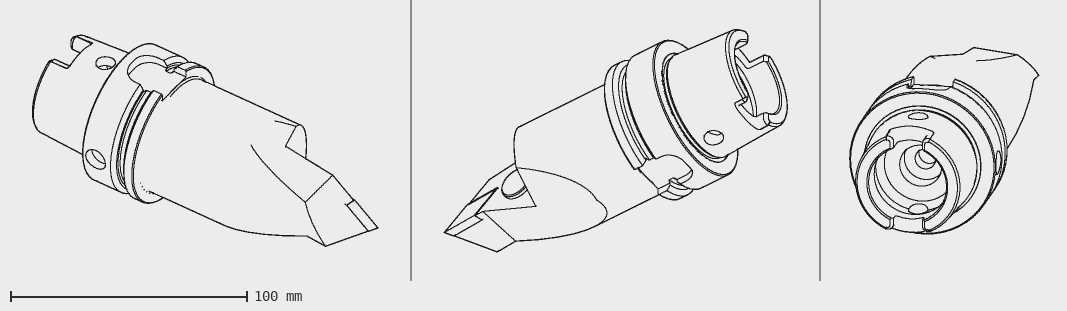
import cadquery as cq
import math

tip_x = 161.9

gauge_x = 31.9
taper_start_x = 30.1
shank_end_radius = 22.5
taper_per_length = 0.05
shank_chamfer_length = 1.1
shank_chamfer_height = 0.8
relief_radius = 23.5
relief_slope_end_x = 31.0
face_relief_radius = 25.3
face_relief_depth = 0.5

bore_radius = 16.8
bore_chamfer = 0.6
bore_straight_length = 12.5
clamp_radius = 18.5
clamp_cone_angle = 30.0
clamp_end_x = 23.5
bore_floor_radius = 15.7
bore_floor_x = 28.3
thread_radius = 9.0
thread_depth = 9.7
coolant_radius = 4.4
coolant_depth = 8.1
drill_point_angle = 118.0

slot_width = 12.5
slot_lip_radius = 2.3
slot_end_fillet = 1.1
slot_mouth_bevel_length = 1.6
slot_mouth_bevel_width = 1.3
upper_slot_length = 10.0
lower_slot_length = 6.0
cross_hole_x = 22.8
cross_hole_diameter = 8.3

flange_radius = 31.49
flange_end_x = 57.8
flange_chamfer = 0.5
groove_left_x = 48.1
groove_right_x = 51.6
groove_radius = 27.5
groove_fillet = 0.6
groove_bevel_length = 1.6
groove_bevel_height = 2.3
keyway_width = 18.0
keyway_start_x = 36.8
keyway_floor_z = 26.5
keyway_corner_radius = 7.1
chip_hole_x = 38.9
chip_hole_diameter = 10.0
chip_hole_depth = 4.5

body_radius = 26.0
body_fillet = 0.8
roof_start_x = 99.1
roof_slope = 0.176
roof_tilt = 0.1
belly_start_x = 83.2
belly_slope = 0.47
belly_tilt = 0.12
lead_angle = 40.0
lead_tilt = 0.142
underside_tilt = 0.13
insert_stand_out = 0.2

rake_y = -0.4
notch_x = 114.8
notch_top_x = 107.8

insert_angle = 35.0
insert_edge = 15.5
insert_thickness = 4.7

button_x = 124.0
button_z = 7.3
button_diameter = 14.9
button_top_y = 1.6
button_chamfer = 0.5

cutter_size = 485.7
clearance_angle = lead_angle - insert_angle
lead_slope = math.tan(math.radians(lead_angle))
underside_slope = math.tan(math.radians(clearance_angle))


def revolve_about_x(points):
    """Turn an (x, radius) outline about the tool axis."""
    return cq.Workplane("XY").polyline(points).close().revolve(360, (0, 0, 0), (1, 0, 0))


def half_space(x, z, slope, tilt, side):
    """Everything above (side 1) or below (side -1) a plane through (x, 0, z) with rises slope, tilt."""
    normal = cq.Vector(-slope * side, -tilt * side, side)
    plane = cq.Plane(origin=(x, 0, z), xDir=(0, 1, tilt), normal=normal)
    return cq.Workplane(plane).rect(cutter_size, cutter_size).extrude(cutter_size)


def turned_shank():
    taper_end_radius = shank_end_radius + taper_per_length * taper_start_x
    chamfer_radius = shank_end_radius + taper_per_length * shank_chamfer_length
    return revolve_about_x([
        (0, 0),
        (0, shank_end_radius - shank_chamfer_height),
        (shank_chamfer_length, chamfer_radius),
        (taper_start_x, taper_end_radius),
        (relief_slope_end_x, relief_radius),
        (gauge_x + face_relief_depth, relief_radius),
        (gauge_x + face_relief_depth, 0),
    ])


def turned_flange():
    bevel_foot = flange_radius - groove_bevel_height
    flange = revolve_about_x([
        (gauge_x, 0),
        (gauge_x, flange_radius - flange_chamfer),
        (gauge_x + flange_chamfer, flange_radius),
        (groove_left_x - groove_bevel_length, flange_radius),
        (groove_left_x, bevel_foot),
        (groove_left_x, groove_radius),
        (groove_right_x, groove_radius),
        (groove_right_x, bevel_foot),
        (groove_right_x + groove_bevel_length, flange_radius),
        (flange_end_x - flange_chamfer, flange_radius),
        (flange_end_x, flange_radius - flange_chamfer),
        (flange_end_x, 0),
    ])
    floor_box = cq.selectors.BoxSelector(
        (groove_left_x - 0.2, -groove_radius - 0.2, -groove_radius - 0.2),
        (groove_right_x + 0.2, groove_radius + 0.2, groove_radius + 0.2),
        boundingbox=True,
    )
    flange = flange.edges("%CIRCLE").edges(floor_box).fillet(groove_fillet)
    face_relief = (
        cq.Workplane("YZ", origin=(gauge_x, 0, 0))
        .circle(face_relief_radius)
        .circle(relief_radius)
        .extrude(face_relief_depth)
    )
    return flange.cut(face_relief)


def clamping_bore():
    thread_end_x = bore_floor_x + thread_depth
    coolant_end_x = thread_end_x + coolant_depth
    clamp_cone_length = (clamp_radius - bore_radius) / math.tan(math.radians(clamp_cone_angle))
    point_length = coolant_radius / math.tan(math.radians(drill_point_angle / 2))
    return revolve_about_x([
        (0, 0),
        (0, bore_radius + bore_chamfer),
        (bore_chamfer, bore_radius),
        (bore_straight_length, bore_radius),
        (bore_straight_length + clamp_cone_length, clamp_radius),
        (clamp_end_x, clamp_radius),
        (bore_floor_x, bore_floor_radius),
        (bore_floor_x, thread_radius),
        (thread_end_x, thread_radius),
        (thread_end_x, coolant_radius),
        (coolant_end_x, coolant_radius),
        (coolant_end_x + point_length, 0),
    ])


def slot_outline(workplane, widening):
    """Slot section whose walls roll over into the taper, widened evenly on both sides."""
    half_width = slot_width / 2 + widening
    lip_radius = slot_lip_radius - widening
    lip_y = half_width + lip_radius
    lip_z = math.sqrt((shank_end_radius - slot_lip_radius) ** 2 - lip_y**2)
    lip_direction = math.atan2(lip_z, lip_y)
    middle_direction = (lip_direction + math.pi) / 2
    middle_y = lip_y + lip_radius * math.cos(middle_direction)
    middle_z = lip_z + lip_radius * math.sin(middle_direction)
    touch_y = lip_y + lip_radius * math.cos(lip_direction)
    touch_z = lip_z + lip_radius * math.sin(lip_direction)
    outside_y = flange_radius * math.cos(lip_direction)
    outside_z = flange_radius * math.sin(lip_direction)
    return (
        workplane.moveTo(-half_width, 0)
        .lineTo(half_width, 0)
        .lineTo(half_width, lip_z)
        .threePointArc((middle_y, middle_z), (touch_y, touch_z))
        .lineTo(outside_y, outside_z)
        .lineTo(-outside_y, outside_z)
        .lineTo(-touch_y, touch_z)
        .threePointArc((-middle_y, middle_z), (-half_width, lip_z))
        .close()
    )


def drive_slot(length):
    """Slot through the upper shank wall with rounded end corners and a bevelled mouth."""
    slot = slot_outline(cq.Workplane("YZ"), 0).extrude(length)
    slot = slot.edges(">X").edges("not |Y").fillet(slot_end_fillet)
    mouth = slot_outline(cq.Workplane("YZ"), slot_mouth_bevel_width)
    mouth = slot_outline(mouth.workplane(offset=slot_mouth_bevel_length), 0).loft(ruled=True)
    return slot.union(mouth)


def cross_hole():
    return (
        cq.Workplane("XY", origin=(cross_hole_x, 0, -flange_radius))
        .circle(cross_hole_diameter / 2)
        .extrude(2 * flange_radius)
    )


def keyway():
    """Flat-bottomed keyway in the top of the flange, open towards the tool body."""
    length = flange_end_x - keyway_start_x
    return (
        cq.Workplane("XY", origin=(keyway_start_x + length / 2, 0, keyway_floor_z))
        .rect(length, keyway_width)
        .extrude(flange_radius)
        .edges("|Z and <X")
        .fillet(keyway_corner_radius)
    )


def chip_hole():
    return (
        cq.Workplane("XZ", origin=(chip_hole_x, -flange_radius + chip_hole_depth, 0))
        .circle(chip_hole_diameter / 2)
        .extrude(flange_radius)
    )


def upper_flank(stand_back):
    """Space in front of the plane that carries the upper cutting edge."""
    return half_space(tip_x - stand_back, 0, -lead_slope, lead_tilt, 1)


def underside():
    """Space below the clearance plane under the tip."""
    return half_space(tip_x, 0, -underside_slope, -underside_tilt, -1)


def tool_body():
    body = (
        cq.Workplane("YZ", origin=(groove_right_x, 0, 0))
        .circle(body_radius)
        .extrude(tip_x - groove_right_x)
    )
    roof = half_space(roof_start_x, body_radius, -roof_slope, roof_tilt, 1)
    belly = half_space(belly_start_x, -body_radius, belly_slope, -belly_tilt, -1).intersect(underside())
    body = body.cut(upper_flank(insert_stand_out))
    for trim in (roof, belly):
        body = body.cut(trim).cut(trim.mirror("XZ"))
    return body.cut(rake_notch())


def rake_notch():
    """Half of the front removed down to the rake face, with a slanted rear wall."""
    wall_lean = (notch_x - notch_top_x) / body_radius
    notch_far_y = 2 * body_radius
    return (
        cq.Workplane("XY", origin=(0, 0, -flange_radius))
        .polyline([
            (notch_x - wall_lean * rake_y, rake_y),
            (tip_x + 1.6, rake_y),
            (tip_x + 1.6, notch_far_y),
            (notch_x - wall_lean * notch_far_y, notch_far_y),
        ])
        .close()
        .extrude(2 * flange_radius)
    )


def insert_blank():
    """Rhombic plate with its sharp corner on the cutting tip."""
    def along(angle, start):
        return (
            start[0] - insert_edge * math.cos(math.radians(angle)),
            start[1] + insert_edge * math.sin(math.radians(angle)),
        )

    tip = (tip_x, 0)
    upper = along(lead_angle, tip)
    lower = along(clearance_angle, tip)
    rear = along(clearance_angle, upper)
    return (
        cq.Workplane("XZ")
        .polyline([tip, upper, rear, lower])
        .close()
        .extrude(insert_thickness)
    )


def make_insert():
    return insert_blank().cut(upper_flank(0)).cut(underside())


def make_button():
    return (
        cq.Workplane("XZ", origin=(button_x, button_top_y, button_z))
        .circle(button_diameter / 2)
        .extrude(button_top_y - rake_y)
        .faces(">Y")
        .edges()
        .chamfer(button_chamfer)
    )


def make_holder():
    body_joint = cq.selectors.BoxSelector(
        (flange_end_x - 0.2, -body_radius - 0.2, -body_radius - 0.2),
        (flange_end_x + 0.2, body_radius + 0.2, body_radius + 0.2),
        boundingbox=True,
    )
    holder = turned_flange().union(tool_body()).edges(body_joint).fillet(body_fillet)
    holder = holder.union(turned_shank()).cut(clamping_bore())
    holder = holder.cut(drive_slot(upper_slot_length))
    holder = holder.cut(drive_slot(lower_slot_length).mirror("XY"))
    holder = holder.cut(cross_hole()).cut(chip_hole())
    holder = holder.cut(keyway()).cut(keyway().mirror("XY"))
    return holder.cut(insert_blank())


holder = make_holder()
insert = make_insert()
button = make_button()

result = cq.Compound.makeCompound([holder.val(), insert.val(), button.val()])